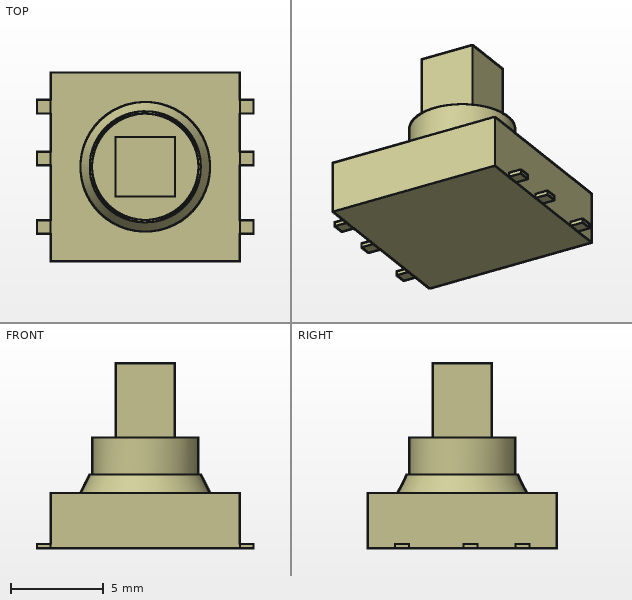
import cadquery as cq

base_side = 10.2
base_height = 3.0
collar_height = 1.0
collar_bottom_diameter = 7.0
collar_top_diameter = 6.0
collar_top = base_height + collar_height

stem_diameter = 5.74
stem_top = 6.0
post_side = 3.2
post_top = 10.0

lead_span = 11.7
lead_length = (lead_span - base_side) / 2
lead_width = 0.75
lead_thickness = 0.25
lead_y_positions = (-3.25, 0.45, 3.25)


def make_housing():
    base = cq.Workplane("XY").box(base_side, base_side, base_height, centered=(True, True, False))
    collar = (
        cq.Workplane("XY", origin=(0, 0, base_height))
        .circle(collar_bottom_diameter / 2)
        .workplane(offset=collar_height)
        .circle(collar_top_diameter / 2)
        .loft(ruled=True)
    )
    return base.union(collar)


def make_actuator():
    """The stem stands on the flat top of the collar."""
    stem = (
        cq.Workplane("XY", origin=(0, 0, collar_top))
        .circle(stem_diameter / 2)
        .extrude(stem_top - collar_top)
    )
    post = (
        cq.Workplane("XY", origin=(0, 0, stem_top))
        .rect(post_side, post_side)
        .extrude(post_top - stem_top)
    )
    return stem.union(post)


def make_lead(side, y_position):
    """One lead butted against the base; side is -1 or +1 along X."""
    x_center = side * (base_side + lead_length) / 2
    return (
        cq.Workplane("XY", origin=(x_center, y_position, 0))
        .rect(lead_length, lead_width)
        .extrude(lead_thickness)
    )


housing = make_housing()
actuator = make_actuator()
leads = [make_lead(side, y_position) for side in (-1, 1) for y_position in lead_y_positions]

result = cq.Compound.makeCompound(
    [housing.val(), actuator.val(), *[lead.val() for lead in leads]]
)